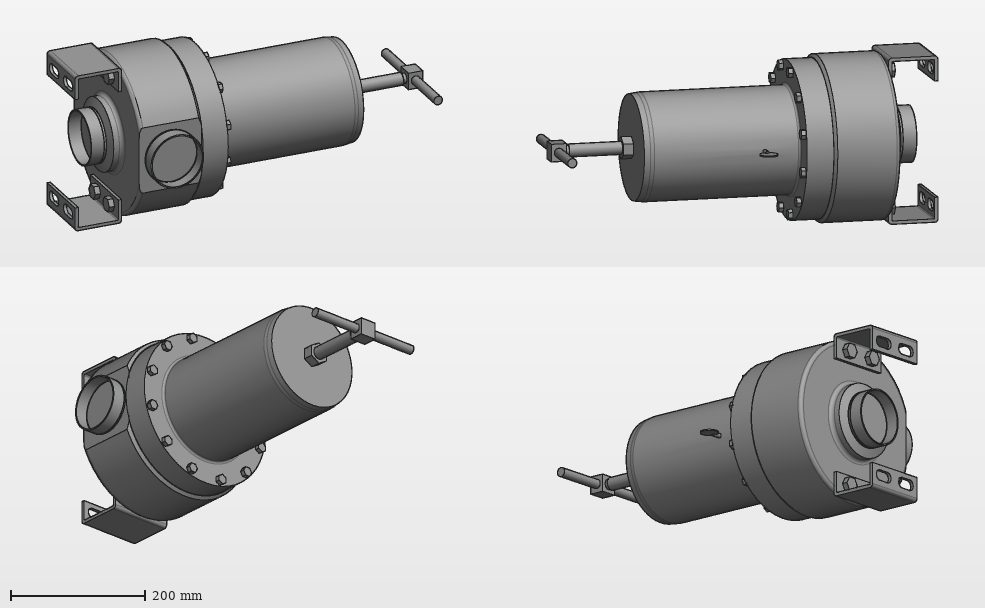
import cadquery as cq
import math


body_radius = 126.5
body_length = 102.0
body_front_fillet = 6.0
body_back_chamfer = 4.5
outlet_flat_x = 115.0

port_diameter = 86.0
port_radius = port_diameter / 2
port_neck_radius = 42.0
port_bore_radius = 41.0
port_bore_depth = 21.0

hub_radius = 57.5
hub_root_fillet = 6.5
hub_shoulder = 16.0
hub_cone_end = 21.0
inlet_tube_start = 24.5
inlet_length = 45.5

outlet_y = 51.5
outlet_end_x = 139.0
outlet_neck_length = 3.0

flange_diameter = 242.0
flange_radius = flange_diameter / 2
flange_thickness = 41.0
flange_bolt_count = 12
bolt_circle_radius = 112.0
flange_bolt_across_corners = 16.0
flange_bolt_head_height = 7.0

bonnet_diameter = 164.5
bonnet_radius = bonnet_diameter / 2
bonnet_length = 240.0
bonnet_root_fillet = 3.5
cap_end_radius = 80.0
cap_edge_radius = 81.5
cap_length = 9.5
cap_band_length = 6.0

nut_across_flats = 29.5
nut_height = 16.0
screw_diameter = 20.0
screw_length = 81.5
screw_neck_diameter = 16.0
screw_neck_length = 6.0
block_width_x = 27.5
block_length_y = 23.5
block_height_z = 27.0
handle_radius = 7.0
handle_length = 191.0

vent_disc_radius = 13.5
vent_disc_thickness = 2.0
vent_disc_x = -105.5
vent_above_flange = 55.0
vent_pin_radius = 3.5
vent_pin_tip_x = -97.0

bracket_width = 102.0
bracket_depth = 76.0
bracket_leg = 38.0
bracket_thickness = 5.0
bracket_inner_bend = 2.0
bracket_hole_spacing = 51.0
bracket_hole_z = 104.5
slot_length = 33.5
slot_width = 16.5
bracket_bolt_across_flats = 20.5
bracket_bolt_head_height = 9.0

flange_face = body_length + flange_thickness
bonnet_end = flange_face + bonnet_length
nut_end = bonnet_end + nut_height
screw_end = nut_end + screw_length
block_start = screw_end + screw_neck_length


def sketch_across_axis(y):
    """Workplane at the given Y; local x is X, local y is Z, extrusion runs toward -Y."""
    return cq.Workplane("XZ", origin=(0, y, 0))


def rod_along_y(radius, start, end):
    return sketch_across_axis(end).circle(radius).extrude(end - start)


def rod_along_x(radius, start, end, y):
    return cq.Workplane("YZ", origin=(start, y, 0)).circle(radius).extrude(end - start)


def hex_along_y(corner_radius, start, end, x=0.0, z=0.0):
    """Hexagonal prism with two corners on its local X direction."""
    return (
        sketch_across_axis(end)
        .center(x, z)
        .polygon(6, 2 * corner_radius)
        .extrude(end - start)
    )


def turn_about_y(shape, degrees):
    return shape.rotate((0, 0, 0), (0, 1, 0), degrees)


def make_body():
    body = rod_along_y(body_radius, 0, body_length)
    body = body.faces("<Y").edges().fillet(body_front_fillet)
    body = body.faces(">Y").edges().chamfer(body_back_chamfer)
    beyond_flat = (
        cq.Workplane("XY")
        .box(body_radius, body_length, 2 * body_radius, centered=(False, False, True))
        .translate((outlet_flat_x, 0, 0))
    )
    return body.cut(beyond_flat)


def make_inlet():
    """Turned hub with a concave root, a conical shoulder, a neck and a socketed tube."""
    bore_floor = inlet_length - port_bore_depth
    arc_drop = hub_root_fillet * (1 - math.sqrt(0.5))
    profile = (
        cq.Workplane("XY")
        .moveTo(0, 0)
        .lineTo(hub_radius + hub_root_fillet, 0)
        .threePointArc((hub_radius + arc_drop, -arc_drop), (hub_radius, -hub_root_fillet))
        .lineTo(hub_radius, -hub_shoulder)
        .lineTo(port_radius, -hub_cone_end)
        .lineTo(port_neck_radius, -hub_cone_end)
        .lineTo(port_neck_radius, -inlet_tube_start)
        .lineTo(port_radius, -inlet_tube_start)
        .lineTo(port_radius, -inlet_length)
        .lineTo(port_bore_radius, -inlet_length)
        .lineTo(port_bore_radius, -bore_floor)
        .lineTo(0, -bore_floor)
        .close()
    )
    return profile.revolve(360, (0, 0, 0), (0, 1, 0))


def make_outlet():
    tube_start = outlet_flat_x + outlet_neck_length
    neck = rod_along_x(port_neck_radius, 0, tube_start, outlet_y)
    return neck.union(rod_along_x(port_radius, tube_start, outlet_end_x, outlet_y))


def make_outlet_bore():
    return rod_along_x(port_bore_radius, outlet_end_x - port_bore_depth, outlet_end_x, outlet_y)


def make_flange():
    return rod_along_y(flange_radius, body_length, flange_face)


def make_flange_bolts():
    """Ring of hex heads straddling the X and Z axes, each with its flats square to one of them."""
    pitch = 360 / flange_bolt_count
    head_end = flange_face + flange_bolt_head_height
    head = hex_along_y(flange_bolt_across_corners / 2, flange_face, head_end)
    bolts = cq.Workplane("XY")
    for i in range(flange_bolt_count):
        angle = math.radians((i + 0.5) * pitch)
        center = (bolt_circle_radius * math.cos(angle), 0, bolt_circle_radius * math.sin(angle))
        bolts = bolts.add(turn_about_y(head, (1 - i) * pitch).translate(center))
    return bolts.combine()


def make_bonnet():
    """Turned cylinder with a filleted root and a slightly tapered cap."""
    arc_drop = bonnet_root_fillet * (1 - math.sqrt(0.5))
    cap_start = bonnet_end - cap_length
    profile = (
        cq.Workplane("XY")
        .moveTo(0, flange_face)
        .lineTo(bonnet_radius + bonnet_root_fillet, flange_face)
        .threePointArc(
            (bonnet_radius + arc_drop, flange_face + arc_drop),
            (bonnet_radius, flange_face + bonnet_root_fillet),
        )
        .lineTo(bonnet_radius, cap_start - cap_band_length)
        .lineTo(cap_edge_radius, cap_start)
        .lineTo(cap_end_radius, bonnet_end)
        .lineTo(0, bonnet_end)
        .close()
    )
    return profile.revolve(360, (0, 0, 0), (0, 1, 0))


def make_screw_and_handle():
    nut = turn_about_y(hex_along_y(nut_across_flats / math.sqrt(3), bonnet_end, nut_end), 90)
    screw = rod_along_y(screw_diameter / 2, nut_end, screw_end)
    neck = rod_along_y(screw_neck_diameter / 2, screw_end, block_start)
    block = (
        cq.Workplane("XY")
        .box(block_width_x, block_length_y, block_height_z)
        .translate((0, block_start + block_length_y / 2, 0))
    )
    handle = rod_along_x(
        handle_radius, -handle_length / 2, handle_length / 2, block_start + block_length_y / 2
    )
    return nut.union(screw).union(neck).union(block).union(handle)


def make_vent():
    vent_y = flange_face + vent_above_flange
    disc = (
        cq.Workplane("XY", origin=(vent_disc_x, vent_y, -vent_disc_thickness / 2))
        .circle(vent_disc_radius)
        .extrude(vent_disc_thickness)
    )
    pin = rod_along_x(vent_pin_radius, vent_pin_tip_x, -bonnet_radius / 2, vent_y)
    return disc.union(pin)


def make_upper_bracket():
    """Bent channel open toward the axis, slotted front leg, bolted to the body face."""
    bracket = (
        cq.Workplane("XY")
        .box(bracket_width, bracket_depth, bracket_leg, centered=(True, False, False))
        .translate((0, -bracket_depth, body_radius - bracket_leg))
        .edges("|X and >Z")
        .fillet(bracket_thickness)
    )
    channel = (
        cq.Workplane("XY")
        .box(
            bracket_width,
            bracket_depth - 2 * bracket_thickness,
            bracket_leg - bracket_thickness,
            centered=(True, False, False),
        )
        .translate((0, bracket_thickness - bracket_depth, body_radius - bracket_leg))
        .edges("|X and >Z")
        .fillet(bracket_inner_bend)
    )
    hole_centers = [(side * bracket_hole_spacing / 2, bracket_hole_z) for side in (-1, 1)]
    slots = (
        sketch_across_axis(bracket_thickness - bracket_depth)
        .pushPoints(hole_centers)
        .slot2D(slot_length, slot_width)
        .extrude(bracket_thickness)
    )
    bracket = bracket.cut(channel).cut(slots)
    for x, z in hole_centers:
        head_start = -bracket_thickness - bracket_bolt_head_height
        corner_radius = bracket_bolt_across_flats / math.sqrt(3)
        bracket = bracket.union(hex_along_y(corner_radius, head_start, -bracket_thickness, x, z))
    return bracket


upper_bracket = make_upper_bracket()

result = (
    make_body()
    .union(make_inlet())
    .union(make_outlet())
    .cut(make_outlet_bore())
    .union(make_bonnet())
    .union(make_screw_and_handle())
    .union(make_vent())
    .union(upper_bracket)
    .union(upper_bracket.mirror("XY"))
    .union(make_flange())
    .union(make_flange_bolts())
)